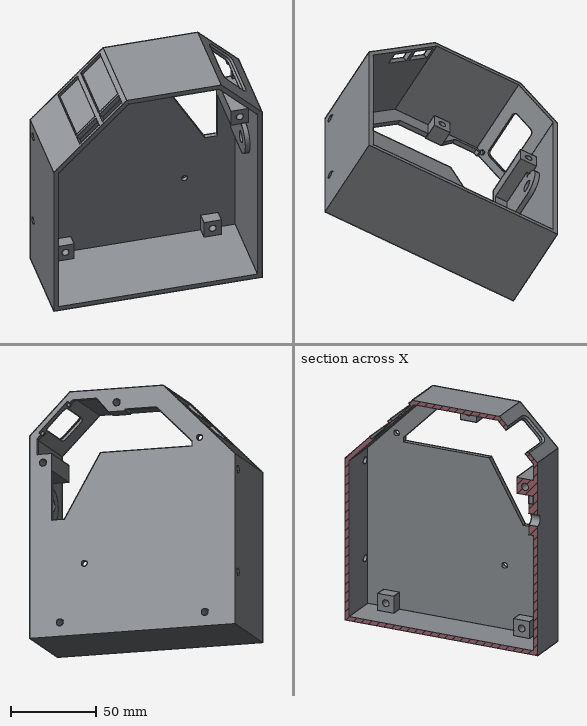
import cadquery as cq
import math

WIDTH = 53.1
DEPTH = 126.8
HEIGHT = 146.8
WALL = 3.0
REAR_CHAMFER = 25.0
FRONT_CHAMFER = 44.3
BACK_Y = DEPTH / 2
FRONT_Y = -DEPTH / 2
SQRT2 = math.sqrt(2)

RIM = 4.7
TOP_RIM = 5.0
LEDGE_Z = 110.4
LEDGE_Y = 49.8
OPENING_FLOOR_Z = 108.9
OPENING_TOP_Z = 134.0
THROAT_Z = 70.3
THROAT_FRONT_Y = 42.0
THROAT_TOP_Y = 19.7
OPENING_FRONT_Y = -36.8
OPENING_FRONT_Z = 111.7

SCREW_DIA = 4.3
PIN_DIA = 3.5
TOP_SCREW_Y = 9.7
TOP_SCREW_Z = 138.5
BOSS_WIDTH = 10.5
TOP_BOSS_Z = 133.0
TOP_BOSS_REAR_TOP_Y = 22.5
LEDGE_LENGTH = 33.0
LEDGE_HEIGHT = 10.3
LEDGE_UNDERSIDE_Z = LEDGE_Z - LEDGE_HEIGHT
LEDGE_SCREW_Y = 55.2
LEDGE_SCREW_Z = LEDGE_Z - LEDGE_HEIGHT / 2
FLOOR_SCREW_Y = 44.8
FLOOR_SCREW_Z = 8.4
BOSS_LENGTH = 10.4
PIN_POINTS = [(-41.5, 113.8), (29.7, 42.9)]

PAD_X = WIDTH / 2
PAD_Z = 85.3
PAD_RADIUS = 10.0
PAD_HOLE_DIA = 7.0

PANEL_ROWS = 2
PANEL_LENGTH = 16.6
PANEL_PITCH = 19.5
PANEL_EDGE = 3.5
POCKET_X = (2.0, 42.3)
POCKET_DEPTH = 1.8
SLOT_X = (44.0, 51.1)

WINDOW_X = 21.9
WINDOW_WIDTH = 33.5
WINDOW_LENGTH = 17.8
WINDOW_RADIUS = 2.8
WINDOW_FLARE = 1.2
WINDOW_EDGE = 17.6
NOTCH_LENGTH = 25.0
TAB_LENGTH = 2.2
TAB_HEIGHT = 1.6
TAB_WIDTH = 2.0

TEARDROP_X = 6.0
TEARDROP_Z = (32.5, 94.2)


def side_prism(points, x_start, length):
    """Extrude a YZ outline along +X."""
    return cq.Workplane("YZ", origin=(x_start, 0, 0)).polyline(points).close().extrude(length)


def block(x_range, y_range, z_range):
    corner = (x_range[0], y_range[0], z_range[0])
    size = [r[1] - r[0] for r in (x_range, y_range, z_range)]
    return cq.Workplane().box(*size, centered=False).translate(corner)


def housing_outline(inset):
    """Profile of the housing, every side moved inward by the inset."""
    front, back = FRONT_Y + inset, BACK_Y - inset
    top = HEIGHT - inset
    corner_shift = inset * (2 - SQRT2)
    front_leg = FRONT_CHAMFER - corner_shift
    rear_leg = REAR_CHAMFER - corner_shift
    return [
        (front, inset),
        (back, inset),
        (back, top - rear_leg),
        (back - rear_leg, top),
        (front + front_leg, top),
        (front, top - front_leg),
    ]


def shell():
    outer = side_prism(housing_outline(0), 0, WIDTH)
    return outer.cut(side_prism(housing_outline(WALL), WALL, WIDTH))


def plate_opening():
    rear_sum = BACK_Y + HEIGHT - REAR_CHAMFER - RIM * SQRT2
    rear_y = BACK_Y - RIM
    top_z = HEIGHT - TOP_RIM
    boss_rear_y = TOP_SCREW_Y + BOSS_WIDTH / 2
    boss_front_y = TOP_SCREW_Y - BOSS_WIDTH / 2
    front_top_y = OPENING_FRONT_Y + OPENING_TOP_Z - OPENING_FRONT_Z
    points = [
        (rear_y, rear_sum - rear_y),
        (rear_y, LEDGE_Z),
        (LEDGE_Y, LEDGE_Z),
        (LEDGE_Y, THROAT_Z),
        (THROAT_FRONT_Y, THROAT_Z),
        (THROAT_TOP_Y, OPENING_FLOOR_Z),
        (OPENING_FRONT_Y, OPENING_FLOOR_Z),
        (OPENING_FRONT_Y, OPENING_FRONT_Z),
        (front_top_y, OPENING_TOP_Z),
        (boss_front_y, OPENING_TOP_Z),
        (boss_front_y, TOP_BOSS_Z),
        (boss_rear_y, TOP_BOSS_Z),
        (TOP_BOSS_REAR_TOP_Y, top_z),
        (rear_sum - top_z, top_z),
    ]
    return side_prism(points, 0, WALL)


def screw_bosses():
    half = BOSS_WIDTH / 2
    ledge = block((0, LEDGE_LENGTH), (LEDGE_Y, BACK_Y), (LEDGE_UNDERSIDE_Z, LEDGE_Z))
    top = block((0, BOSS_LENGTH), (TOP_SCREW_Y - half, TOP_SCREW_Y + half), (TOP_BOSS_Z, HEIGHT))
    bosses = ledge.union(top)
    for y in (-FLOOR_SCREW_Y, FLOOR_SCREW_Y):
        boss = block((0, BOSS_LENGTH), (y - half, y + half), (0, FLOOR_SCREW_Z + half))
        bosses = bosses.union(boss)
    return bosses


def side_holes():
    screw_points = [
        (TOP_SCREW_Y, TOP_SCREW_Z),
        (LEDGE_SCREW_Y, LEDGE_SCREW_Z),
        (-FLOOR_SCREW_Y, FLOOR_SCREW_Z),
        (FLOOR_SCREW_Y, FLOOR_SCREW_Z),
    ]
    plane = cq.Workplane("YZ")
    screws = plane.pushPoints(screw_points).circle(SCREW_DIA / 2).extrude(WIDTH)
    pins = plane.pushPoints(PIN_POINTS).circle(PIN_DIA / 2).extrude(WIDTH)
    return screws.union(pins)


def rear_pad():
    """Pad from the side plate up to the ledge, rounded around the cross hole."""
    face_y = BACK_Y - 2 * WALL
    strip = block((0, PAD_X), (face_y, BACK_Y), (PAD_Z - PAD_RADIUS, LEDGE_UNDERSIDE_Z))
    rear_plane = cq.Workplane("XZ", origin=(PAD_X, BACK_Y, PAD_Z))
    return strip.union(rear_plane.circle(PAD_RADIUS).extrude(2 * WALL))


def rear_pad_hole():
    rear_plane = cq.Workplane("XZ", origin=(PAD_X, BACK_Y, PAD_Z))
    return rear_plane.circle(PAD_HOLE_DIA / 2).extrude(2 * WALL)


def front_slope_cut(x_range, row, depth):
    """Rectangular cut square to the front slope; row 0 is the upper one."""
    crest = (0, FRONT_Y + FRONT_CHAMFER, HEIGHT)
    plane = cq.Plane(origin=crest, xDir=(1, 0, 0), normal=(0, -1, 1))
    x_middle = sum(x_range) / 2
    along = PANEL_EDGE + row * PANEL_PITCH + PANEL_LENGTH / 2
    sketch = cq.Workplane(plane).center(x_middle, -along)
    return sketch.rect(x_range[1] - x_range[0], PANEL_LENGTH).extrude(-depth)


def front_panel_cuts():
    cuts = cq.Workplane()
    for row in range(PANEL_ROWS):
        cuts = cuts.add(front_slope_cut(POCKET_X, row, POCKET_DEPTH))
        cuts = cuts.add(front_slope_cut(SLOT_X, row, WALL))
    return cuts.combine()


def rear_slope(depth):
    """Workplane parallel to the rear slope at a depth below it, centred on the window."""
    drop = depth / SQRT2
    along = WINDOW_EDGE / SQRT2
    centre = (0, BACK_Y - REAR_CHAMFER + along - drop, HEIGHT - along - drop)
    return cq.Workplane(cq.Plane(origin=centre, xDir=(1, 0, 0), normal=(0, 1, 1)))


def rounded_rectangle(width, length, radius):
    return cq.Sketch().rect(width, length).vertices().fillet(radius)


def window_cut():
    flare = WINDOW_FLARE
    opening = rounded_rectangle(WINDOW_WIDTH, WINDOW_LENGTH, WINDOW_RADIUS)
    mouth = rounded_rectangle(
        WINDOW_WIDTH + 2 * flare, WINDOW_LENGTH + 2 * flare, WINDOW_RADIUS + flare
    )
    plane = rear_slope(0).center(WINDOW_X, 0)
    through = plane.placeSketch(opening).extrude(-WALL)
    return through.union(plane.placeSketch(mouth).extrude(-flare, taper=45))


def window_notch():
    """Clearance in the plate rim behind the window."""
    return rear_slope(WALL).center(WALL / 2, 0).rect(WALL, NOTCH_LENGTH).extrude(-RIM)


def window_tabs():
    offset = (NOTCH_LENGTH - TAB_LENGTH) / 2
    plane = rear_slope(WALL).center(WALL + TAB_WIDTH / 2, 0)
    return plane.pushPoints([(0, -offset), (0, offset)]).rect(TAB_WIDTH, TAB_LENGTH).extrude(-TAB_HEIGHT)


def teardrop_hole(z):
    """Hole through the front wall with a 45 degree point toward +X."""
    radius = SCREW_DIA / 2
    tangent = radius / SQRT2
    plane = cq.Workplane("XZ", origin=(TEARDROP_X, FRONT_Y + WALL, z))
    outline = plane.moveTo(tangent, tangent).threePointArc((-radius, 0), (tangent, -tangent))
    return outline.lineTo(radius * SQRT2, 0).close().extrude(WALL)


body = shell().union(screw_bosses()).union(rear_pad())
body = body.cut(plate_opening()).cut(window_notch()).union(window_tabs())
body = body.cut(side_holes()).cut(rear_pad_hole())
body = body.cut(front_panel_cuts()).cut(window_cut())
for hole_z in TEARDROP_Z:
    body = body.cut(teardrop_hole(hole_z))

result = body